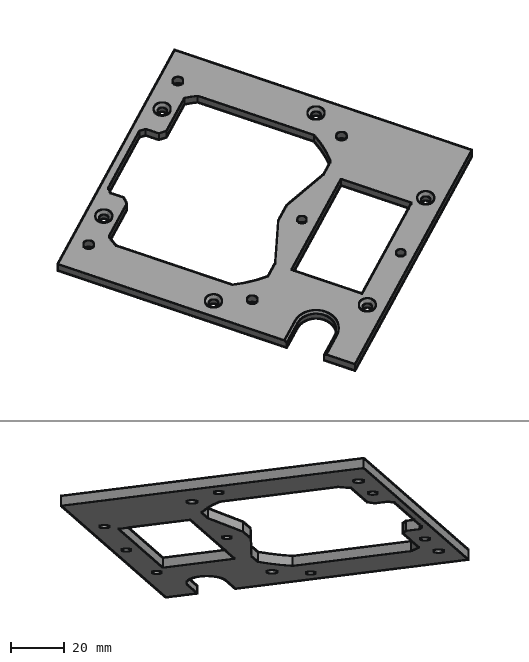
import cadquery as cq
import math

plate_length = 120.0
plate_width = 110.0
plate_thickness = 4.0

opening_left = -47.6
opening_right = 13.9
opening_half_width = 38.4
corner_arc_diameter = 90.0
waist_x = 7.1
waist_half_width = 4.0
waist_start_y = 22.8

recess_left = -56.9
recess_half_width = 16.5
recess_chamfer = 1.8
recess_mouth_chamfer = 2.2

window_left = 20.8
window_right = 49.2
window_width = 46.5

corner_hole_diameter = 4.0
corner_hole_left_x = -53.0
corner_hole_right_x = 13.0
corner_hole_y = 42.0
window_hole_diameter = 3.5
window_hole_left_x = 15.0
window_hole_right_x = 54.8

screw_hole_diameter = 3.6
screw_head_diameter = 6.4
screw_head_angle = 90.0
side_screw_x = 53.2
side_screw_y = 27.5
end_screw_y = 48.2

slot_x = 40.0
slot_width = 15.0
slot_arc_center_y = -45.0
slot_chamfer = 1.0


def mirrored_in_y(x, y):
    return [(x, y), (x, -y)]


def main_opening():
    """Opening whose four corners lie on one circle centred between the corner holes."""
    center_x = (corner_hole_left_x + corner_hole_right_x) / 2
    radius = corner_arc_diameter / 2

    def circle_y(x):
        return math.sqrt(radius**2 - (x - center_x) ** 2)

    def corner_middle(x):
        """Point halfway along the arc from the side wall at x to the upper wall."""
        wall_angle = math.atan2(circle_y(x), x - center_x)
        top_angle = math.asin(opening_half_width / radius)
        if x < center_x:
            top_angle = math.pi - top_angle
        angle = (wall_angle + top_angle) / 2
        return (center_x + radius * math.cos(angle), radius * math.sin(angle))

    top_reach = math.sqrt(radius**2 - opening_half_width**2)
    upper_half = (
        cq.Workplane("XY")
        .moveTo(recess_left, 0)
        .lineTo(recess_left, recess_half_width - recess_chamfer)
        .lineTo(recess_left + recess_chamfer, recess_half_width)
        .lineTo(opening_left - recess_mouth_chamfer, recess_half_width)
        .lineTo(opening_left, recess_half_width + recess_mouth_chamfer)
        .lineTo(opening_left, circle_y(opening_left))
        .threePointArc(corner_middle(opening_left), (center_x - top_reach, opening_half_width))
        .lineTo(center_x + top_reach, opening_half_width)
        .threePointArc(corner_middle(opening_right), (opening_right, circle_y(opening_right)))
        .lineTo(opening_right, waist_start_y)
        .lineTo(waist_x, waist_half_width)
        .lineTo(waist_x, 0)
    )
    return upper_half.mirrorX().extrude(plate_thickness)


def window():
    length = window_right - window_left
    center_x = (window_left + window_right) / 2
    return cq.Workplane("XY").center(center_x, 0).rect(length, window_width).extrude(plate_thickness)


def slot_outline(z, offset):
    """Closed slot profile at height z, grown sideways by offset."""
    radius = slot_width / 2 + offset
    edge_y = -plate_width / 2
    return (
        cq.Workplane("XY", origin=(slot_x, 0, z))
        .moveTo(-radius, edge_y)
        .lineTo(-radius, slot_arc_center_y)
        .threePointArc((0, slot_arc_center_y + radius), (radius, slot_arc_center_y))
        .lineTo(radius, edge_y)
        .close()
    )


def open_slot():
    chamfer_z = plate_thickness - slot_chamfer
    straight = slot_outline(0, 0).extrude(plate_thickness)
    lower_wire = slot_outline(chamfer_z, 0).val()
    upper_wire = slot_outline(plate_thickness, slot_chamfer).val()
    flare = cq.Solid.makeLoft([lower_wire, upper_wire], True)
    return straight.union(cq.Workplane(flare))


corner_holes = (
    mirrored_in_y(corner_hole_left_x, corner_hole_y)
    + mirrored_in_y(corner_hole_right_x, corner_hole_y)
)
window_holes = [(window_hole_left_x, 0), (window_hole_right_x, 0)]
screw_holes = (
    mirrored_in_y(-side_screw_x, side_screw_y)
    + mirrored_in_y(side_screw_x, side_screw_y)
    + mirrored_in_y(0, end_screw_y)
)

plate = cq.Workplane("XY").box(plate_length, plate_width, plate_thickness, centered=(True, True, False))
plate = plate.cut(main_opening()).cut(window()).cut(open_slot())

top_plane = cq.Workplane("XY", origin=(0, 0, plate_thickness))
for positions, diameter in [
    (corner_holes, corner_hole_diameter),
    (window_holes, window_hole_diameter),
]:
    plate = plate.cut(top_plane.pushPoints(positions).circle(diameter / 2).extrude(-plate_thickness))

result = (
    plate.faces(">Z")
    .workplane(origin=(0, 0, plate_thickness))
    .pushPoints(screw_holes)
    .cskHole(screw_hole_diameter, screw_head_diameter, screw_head_angle)
)